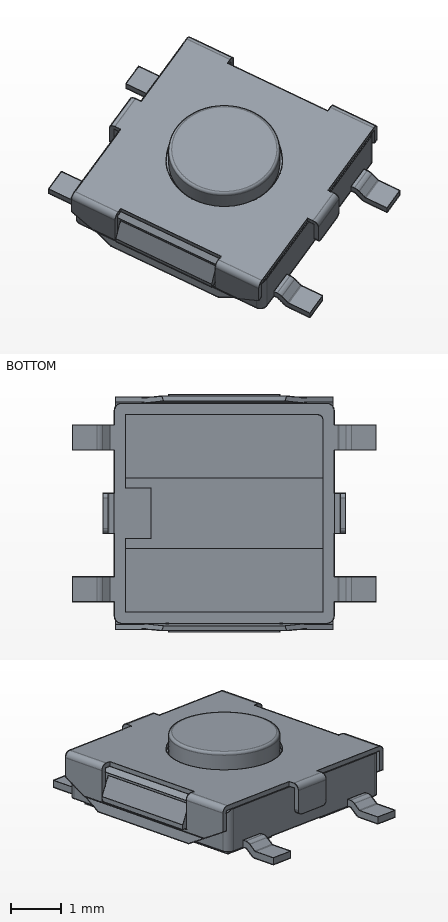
import cadquery as cq
import math

lead_thickness = 0.15
housing_side = 4.35
housing_bottom = lead_thickness
housing_top = 1.05
housing_corner_radius = 0.15
housing_edge_chamfer = 0.1

plate_side = 3.9
plate_corner_radius = 0.1
plate_slot_width = 1.4
plate_slot_depth = 0.06
plate_notch_width = 1.0
plate_notch_depth = 0.5

button_radius = 1.1
button_top = 1.5
button_edge_radius = 0.06

latch_width = 2.2
latch_reach = 2.35
latch_top = 0.9
latch_ridge = 0.5
latch_bottom = 0.4

lead_tip = 3.0
lead_width = 0.5
lead_pitch = 3.0
lead_bend_start = 2.25
lead_bend_angle = 38.0
lead_root_depth = 0.2

sheet = 0.1
bend_inner_radius = 0.025
cover_width = 4.3
cover_length = 4.6
button_hole_radius = 1.15
window_width = 2.3
skirt_shoulder = 0.62
lip_top = 0.34
lip_bottom = 0.11
lip_bottom_width = 2.4
lip_setback = 0.02
lip_angle = 11.0
tab_span = 4.8
tab_width = 0.8
tab_bottom = 0.5
tab_corner_radius = 0.1

housing_half = housing_side / 2
cover_top = housing_top + sheet
bend_outer_radius = bend_inner_radius + sheet


def polar(center, radius, degrees):
    """Point at a given radius and angle around a center."""
    angle = math.radians(degrees)
    return (center[0] + radius * math.cos(angle), center[1] + radius * math.sin(angle))


def make_block():
    height = housing_top - housing_bottom
    block = cq.Workplane("XY").workplane(offset=housing_bottom).rect(housing_side, housing_side).extrude(height)
    block = block.edges("|Z").fillet(housing_corner_radius)
    section = (
        cq.Workplane("YZ")
        .moveTo(-housing_half, housing_bottom)
        .lineTo(housing_half, housing_bottom)
        .lineTo(housing_half, housing_top - housing_edge_chamfer)
        .lineTo(housing_half - housing_edge_chamfer, housing_top)
        .lineTo(-housing_half + housing_edge_chamfer, housing_top)
        .lineTo(-housing_half, housing_top - housing_edge_chamfer)
        .close()
        .extrude(housing_half, both=True)
    )
    return block.intersect(section)


def make_foot_plate():
    plate = cq.Workplane("XY").rect(plate_side, plate_side).extrude(housing_bottom)
    plate = plate.edges("|Z").edges(">X").edges("<Y").fillet(plate_corner_radius)
    slot = cq.Workplane("XY").rect(plate_side, plate_slot_width).extrude(plate_slot_depth)
    notch = (
        cq.Workplane("XY")
        .center((plate_notch_depth - plate_side) / 2, 0)
        .rect(plate_notch_depth, plate_notch_width)
        .extrude(housing_bottom)
    )
    return plate.cut(slot).cut(notch)


def make_button():
    button = cq.Workplane("XY").workplane(offset=housing_top).circle(button_radius)
    return button.extrude(button_top - housing_top).faces(">Z").edges().fillet(button_edge_radius)


def make_latch(side):
    """Wedge that snaps into the cover window; side is -1 or +1 along Y."""
    root = housing_half - housing_edge_chamfer
    return (
        cq.Workplane("YZ")
        .moveTo(side * root, latch_bottom)
        .lineTo(side * latch_reach, latch_bottom)
        .lineTo(side * latch_reach, latch_ridge)
        .lineTo(side * housing_half, latch_top)
        .lineTo(side * root, latch_top)
        .close()
        .extrude(latch_width / 2, both=True)
    )


def make_lead():
    """Lead on the +X side at Y = 0, stepping down from the housing to the board."""
    inner = bend_inner_radius
    outer = inner + lead_thickness
    angle = math.radians(lead_bend_angle)
    bends_radius = inner + outer
    slope_length = (lead_thickness - bends_radius * (1 - math.cos(angle))) / math.sin(angle)
    foot_start = lead_bend_start + bends_radius * math.sin(angle) + slope_length * math.cos(angle)

    root = housing_half - lead_root_depth
    shelf_top = housing_bottom + lead_thickness
    upper = (lead_bend_start, housing_bottom - inner)
    lower = (foot_start, lead_thickness + inner)
    upper_end = 90 - lead_bend_angle
    upper_mid = 90 - lead_bend_angle / 2
    lower_start = 270 - lead_bend_angle
    lower_mid = 270 - lead_bend_angle / 2
    return (
        cq.Workplane("XZ")
        .moveTo(root, shelf_top)
        .lineTo(lead_bend_start, shelf_top)
        .threePointArc(polar(upper, outer, upper_mid), polar(upper, outer, upper_end))
        .lineTo(*polar(lower, inner, lower_start))
        .threePointArc(polar(lower, inner, lower_mid), (foot_start, lead_thickness))
        .lineTo(lead_tip, lead_thickness)
        .lineTo(lead_tip, 0)
        .lineTo(foot_start, 0)
        .threePointArc(polar(lower, outer, lower_mid), polar(lower, outer, lower_start))
        .lineTo(*polar(upper, inner, upper_end))
        .threePointArc(polar(upper, inner, upper_mid), (lead_bend_start, housing_bottom))
        .lineTo(root, housing_bottom)
        .close()
        .extrude(lead_width / 2, both=True)
    )


def make_housing():
    body = make_block().union(make_foot_plate()).union(make_button())
    for side in (-1, 1):
        body = body.union(make_latch(side))
    lead = make_lead()
    for turn in (0, 180):
        for y in (-lead_pitch / 2, lead_pitch / 2):
            placed_lead = lead.translate((0, y, 0)).rotate((0, 0, 0), (0, 0, 1), turn)
            body = body.union(placed_lead)
    return body


def make_rounded_bar(plane, span, bottom, top, radius, width):
    """Bar centred on Z with its two top edges rounded; its section lies on a vertical plane."""
    height = top - bottom
    bar = cq.Workplane(plane).center(0, bottom + height / 2).rect(span, height).extrude(width / 2, both=True)
    bend_axis = {"YZ": "|X", "XZ": "|Y"}[plane]
    return bar.faces(">Z").edges(bend_axis).fillet(radius)


def make_channel(plane, span, wall_bottom, width):
    """Sheet bent down at both ends into a wall on each side."""
    outside = make_rounded_bar(plane, span, wall_bottom, cover_top, bend_outer_radius, width)
    inside = make_rounded_bar(plane, span - 2 * sheet, wall_bottom, housing_top, bend_inner_radius, width)
    return outside.cut(inside)


def make_lip(side):
    """Lower edge of a skirt, set back from its outer face and flared outward."""
    flare = math.radians(lip_angle)
    outer_top = cover_length / 2 - lip_setback
    thickness_along_y = sheet / math.cos(flare)
    inner_bottom = outer_top - thickness_along_y + (lip_top - lip_bottom) * math.tan(flare)
    outer_bottom = inner_bottom + sheet * math.cos(flare)
    return (
        cq.Workplane("YZ")
        .moveTo(side * outer_top, lip_top)
        .lineTo(side * outer_bottom, lip_bottom + sheet * math.sin(flare))
        .lineTo(side * inner_bottom, lip_bottom)
        .lineTo(side * (outer_top - thickness_along_y), lip_top)
        .close()
        .extrude(cover_width / 2, both=True)
    )


def make_skirt_outline():
    """Prism that trims both skirts to their tapered lower ends."""
    half = cover_width / 2
    return (
        cq.Workplane("XZ")
        .moveTo(-half, cover_top)
        .lineTo(half, cover_top)
        .lineTo(half, skirt_shoulder)
        .lineTo(lip_bottom_width / 2, lip_bottom)
        .lineTo(-lip_bottom_width / 2, lip_bottom)
        .lineTo(-half, skirt_shoulder)
        .close()
        .extrude(cover_length, both=True)
    )


def make_window(side):
    """Opening from the roof edge down the skirt, taking in the latch."""
    inner_edge = housing_half - housing_edge_chamfer
    depth = latch_reach - inner_edge
    height = cover_top - latch_bottom
    center = (0, side * (inner_edge + depth / 2), latch_bottom + height / 2)
    return cq.Workplane("XY").box(window_width, depth, height).translate(center)


def make_cover():
    cover = make_channel("YZ", cover_length, lip_top, cover_width)
    for side in (-1, 1):
        cover = cover.union(make_lip(side))
    cover = cover.intersect(make_skirt_outline())

    tabs = make_channel("XZ", tab_span, tab_bottom, tab_width)
    tabs = tabs.faces("<Z").edges("|X").fillet(tab_corner_radius)
    cover = cover.union(tabs)

    for side in (-1, 1):
        cover = cover.cut(make_window(side))
    button_hole = cq.Workplane("XY").workplane(offset=housing_top).circle(button_hole_radius).extrude(sheet)
    return cover.cut(button_hole)


housing = make_housing()
cover = make_cover()

result = cq.Compound.makeCompound([housing.solids().val(), cover.solids().val()])